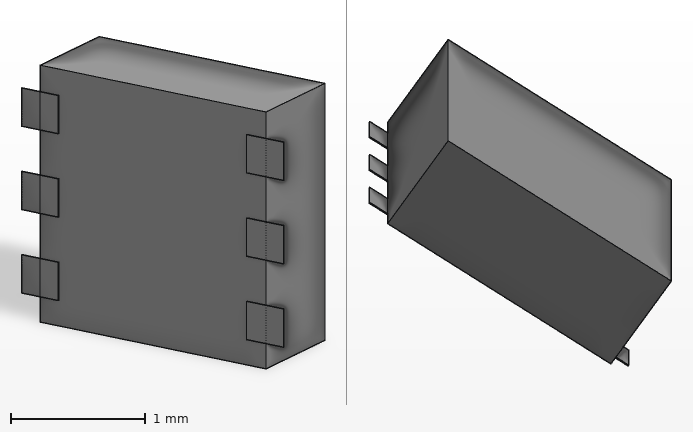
import cadquery as cq

overall_width = 2.32
overall_depth = 0.81
body_height = 2.01

body_width = 2.0
lead_thickness = 0.01
lead_length = 0.325
lead_height = 0.3
lead_pitch = 0.652
leads_per_side = 3
lead_drop = 0.002

body_depth = overall_depth - lead_thickness
lead_center_x = (overall_width - lead_length) / 2


def make_housing():
    """Plain block whose mounting face lies on the plane Y = 0."""
    return cq.Workplane("XY").box(body_width, body_depth, body_height).translate((0, body_depth / 2, 0))


def make_lead(side, row):
    """Flat lead on the mounting face; side is -1 or 1, row counts from the bottom."""
    center_z = (row - (leads_per_side - 1) / 2) * lead_pitch - lead_drop
    lead = cq.Workplane("XY").box(lead_length, lead_thickness, lead_height)
    return lead.translate((side * lead_center_x, -lead_thickness / 2, center_z))


housing = make_housing()
leads = [make_lead(side, row) for side in (-1, 1) for row in range(leads_per_side)]

result = cq.Compound.makeCompound([housing.val(), *[lead.val() for lead in leads]])